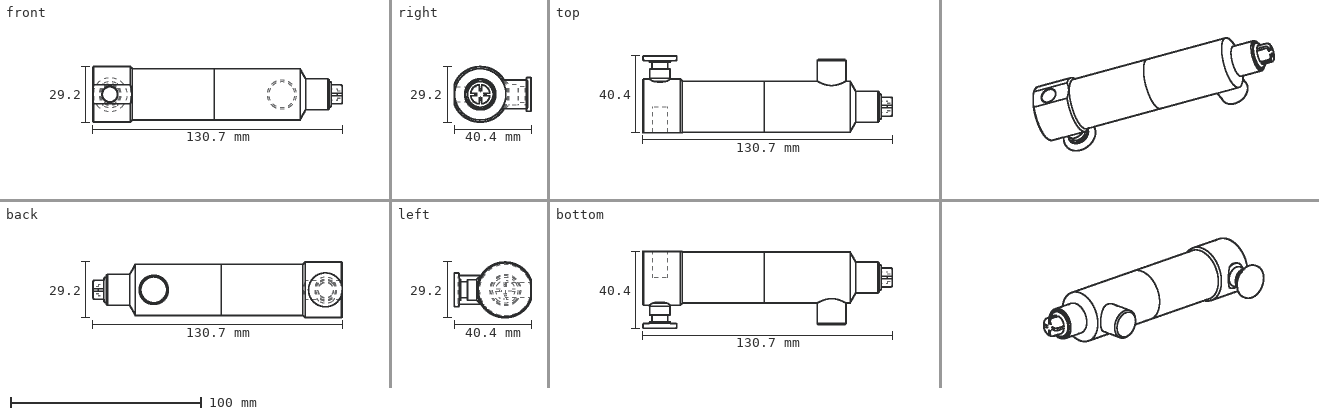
import cadquery as cq
import math


head_diameter = 29.21
head_length = 20.7
head_front_chamfer = 0.5
head_flat_offset = 13.72
tube_diameter = 26.92
head_rear_chamfer = (head_diameter - tube_diameter) / 2
joint_x = 63.5

port_hole_diameter = 7.95
port_hole_rim_diameter = 8.38
port_hole_x = 8.89

overall_width = 40.41
flange_diameter = 17.78
flange_thickness = 2.6
flange_rounding = 0.7
flange_hub_length = 0.85
flange_hub_diameter = 11.4
neck_diameter = 8.38
collar_diameter = 10.67
collar_chamfer = 0.25
flange_top_y = overall_width - head_flat_offset
collar_top_y = 19.8
collar_bottom_y = 14.95
flare_diameter = 13.72
flare_bottom_y = collar_bottom_y - (flare_diameter - collar_diameter) / 2

overall_length = 130.73
shoulder_x = 108.5
shoulder_angle = 60.5
end_diameter = 16.38
end_x = 123.75
end_chamfer_length = 0.75
end_face_diameter = 15.19
ring_diameter = 13.41
ring_x = 125.0
ring_rounding = 1.0
tip_diameter = 10.16
tip_rounding = 1.0
slot_width = 1.3
slot_count = 4
slot_step_x = 127.95
slot_inner_core_diameter = 6.0
slot_outer_core_diameter = 4.0

side_port_diameter = 15.24
side_port_x = 98.85
side_port_top_y = 24.9
side_port_chamfer = 0.85


def cylinder_along_x(diameter, start, end):
    return cq.Workplane("YZ", origin=(start, 0, 0)).circle(diameter / 2).extrude(end - start)


def cylinder_along_y(diameter, x, start, end):
    """Cylinder parallel to Y that runs from y = start up to y = end."""
    return cq.Workplane("XZ", origin=(x, start, 0)).circle(diameter / 2).extrude(start - end)


def rounding_midpoint_inset(radius):
    """Distance of a quarter round's midpoint from each of the two faces it joins."""
    return radius * (1 - math.sqrt(0.5))


def make_head():
    head = cylinder_along_x(head_diameter, 0, head_length)
    head = head.faces("<X").chamfer(head_front_chamfer)
    head = head.faces(">X").chamfer(head_rear_chamfer)
    flat_cut = cq.Workplane("XY").box(
        head_length, head_diameter, head_diameter, centered=(False, False, True)
    )
    return head.cut(flat_cut.translate((0, -head_flat_offset - head_diameter, 0)))


def make_flanged_port():
    """Port turned about a Y-parallel axis: (radius, y) profile from the head axis outwards."""
    flange_bottom_y = flange_top_y - flange_thickness
    hub_bottom_y = flange_bottom_y - flange_hub_length
    flange_radius = flange_diameter / 2
    collar_radius = collar_diameter / 2
    neck_radius = neck_diameter / 2
    bend = rounding_midpoint_inset(flange_rounding)
    profile = (
        cq.Workplane("XY")
        .lineTo(flare_diameter / 2, 0)
        .lineTo(flare_diameter / 2, flare_bottom_y)
        .lineTo(collar_radius, collar_bottom_y)
        .lineTo(collar_radius, collar_top_y - collar_chamfer)
        .lineTo(collar_radius - collar_chamfer, collar_top_y)
        .lineTo(neck_radius, collar_top_y)
        .lineTo(neck_radius, hub_bottom_y)
        .lineTo(collar_radius, hub_bottom_y)
        .lineTo(flange_hub_diameter / 2, flange_bottom_y)
        .lineTo(flange_radius - flange_rounding, flange_bottom_y)
        .threePointArc(
            (flange_radius - bend, flange_bottom_y + bend),
            (flange_radius, flange_bottom_y + flange_rounding),
        )
        .lineTo(flange_radius, flange_top_y - flange_rounding)
        .threePointArc(
            (flange_radius - bend, flange_top_y - bend),
            (flange_radius - flange_rounding, flange_top_y),
        )
        .lineTo(0, flange_top_y)
        .close()
    )
    return profile.revolve(360, (0, 0, 0), (0, 1, 0)).translate((port_hole_x, 0, 0))


def make_port_hole():
    """Blind hole from the flat to the main axis, with a small countersunk rim."""
    hole = cylinder_along_y(port_hole_diameter, port_hole_x, -head_flat_offset, 0)
    rim_depth = (port_hole_rim_diameter - port_hole_diameter) / 2
    rim = cq.Workplane("XZ", origin=(port_hole_x, -head_flat_offset, 0))
    rim = rim.circle(port_hole_rim_diameter / 2).extrude(-rim_depth, taper=45)
    return hole.union(rim)


def make_front_body():
    front_tube = cylinder_along_x(tube_diameter, head_length, joint_x)
    return make_head().union(front_tube).union(make_flanged_port()).cut(make_port_hole())


def make_rear_profile():
    """Turned shape of the rear body about the main axis."""
    tube_radius = tube_diameter / 2
    end_radius = end_diameter / 2
    ring_radius = ring_diameter / 2
    tip_radius = tip_diameter / 2
    shoulder_length = (tube_radius - end_radius) / math.tan(math.radians(shoulder_angle))
    ring_bend = rounding_midpoint_inset(ring_rounding)
    tip_bend = rounding_midpoint_inset(tip_rounding)
    return (
        cq.Workplane("XY")
        .moveTo(joint_x, 0)
        .lineTo(joint_x, tube_radius)
        .lineTo(shoulder_x, tube_radius)
        .lineTo(shoulder_x + shoulder_length, end_radius)
        .lineTo(end_x - end_chamfer_length, end_radius)
        .lineTo(end_x, end_face_diameter / 2)
        .lineTo(end_x, ring_radius)
        .lineTo(ring_x - ring_rounding, ring_radius)
        .threePointArc(
            (ring_x - ring_bend, ring_radius - ring_bend),
            (ring_x, ring_radius - ring_rounding),
        )
        .lineTo(ring_x, tip_radius)
        .lineTo(overall_length - tip_rounding, tip_radius)
        .threePointArc(
            (overall_length - tip_bend, tip_radius - tip_bend),
            (overall_length, tip_radius - tip_rounding),
        )
        .lineTo(overall_length, 0)
        .close()
    )


def make_slots():
    """Slots around the tip, deeper in the outer half, all leaving a round stepped core."""
    inner_core = cylinder_along_x(slot_inner_core_diameter, ring_x, slot_step_x)
    outer_core = cylinder_along_x(slot_outer_core_diameter, slot_step_x, overall_length)
    slots = cq.Workplane("XY")
    for number in range(slot_count):
        slot = cq.Workplane("XY").box(
            overall_length - ring_x, tip_diameter, slot_width, centered=(False, False, True)
        )
        angle = number * 360 / slot_count
        slots = slots.union(slot.translate((ring_x, 0, 0)).rotate((0, 0, 0), (1, 0, 0), angle))
    return slots.cut(inner_core).cut(outer_core)


def make_side_port():
    port = cylinder_along_y(side_port_diameter, side_port_x, 0, side_port_top_y)
    return port.faces(">Y").chamfer(side_port_chamfer)


def make_rear_body():
    turned = make_rear_profile().revolve(360, (0, 0, 0), (1, 0, 0))
    return turned.union(make_side_port()).cut(make_slots())


front_body = make_front_body()
rear_body = make_rear_body()
result = cq.Compound.makeCompound([front_body.val(), rear_body.val()])